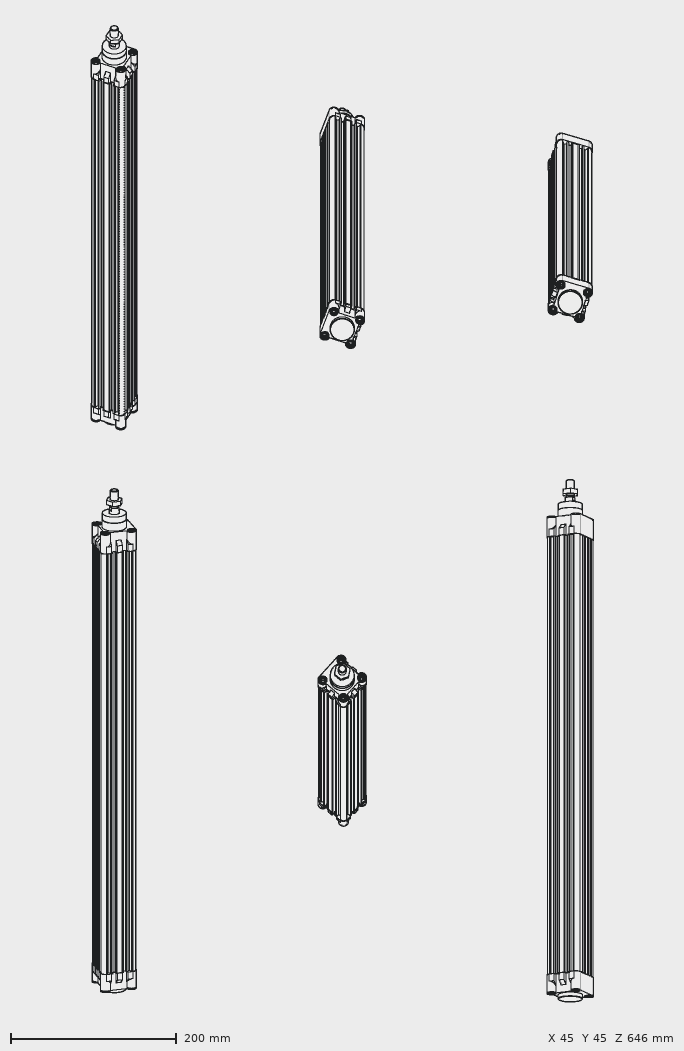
import cadquery as cq

TOTAL_LENGTH = 646.0
CAP_SIDE = 45.0
BACK_FACE = 5.0
TUBE_BOTTOM = 28.5
TUBE_TOP = 573.0
FRONT_FACE = 598.0
COLLAR_TOP = 616.0
ROD_SHOULDER = 624.0

BOSS_DIAMETER = 12.0
BOSS_PITCH = CAP_SIDE - BOSS_DIAMETER
CAP_FLOOR = 17.5
SPIGOT_DIAMETER = 30.0
SPIGOT_CHAMFER = 0.5
COLLAR_DIAMETER = 29.0
COLLAR_STEP = 608.5

SOCKET_STEPS = ((10.0, 1.0), (8.0, 2.5), (6.0, 4.0), (4.15, 10.0))

TAB_WIDTH = 6.5
TAB_PITCH = 13.5
TAB_REACH = 22.5
TAB_LENGTH = 9.0

TUBE_SIDE = 44.5
TUBE_CORNER_RADIUS = 7.0
GROOVE_INNER = 4.85
GROOVE_OUTER = 8.7
GROOVE_FLOOR = 18.0
CENTRE_SLOT_WIDTH = TAB_WIDTH
CENTRE_SLOT_DEPTH = 0.5
SLOT_WIDTH = 6.0
SLOT_FLOOR_START = 19.0
SLOT_FLOOR_BEND = 18.0
SLOT_FLOOR_LOW = 17.5
SLOT_LEDGE = 20.5
SLOT_BEND_AT = 12.0
SLOT_LOW_AT = 13.5
SLOT_LEDGE_AT = 15.5

ROD_DIAMETER = 12.0
THREAD_DIAMETER = 10.0
THREAD_CHAMFER = 1.0
THREAD_START = 626.0
NECK_DIAMETER = 9.0
WRENCH_FLATS = 10.0
WRENCH_BOTTOM = 620.0
NUT_ACROSS_CORNERS = 20.0
NUT_BOTTOM = 628.0
NUT_THICKNESS = 6.0


def cylinder(diameter, bottom, top):
    """A vertical cylinder on the main axis between two heights."""
    return cq.Workplane("XY", origin=(0, 0, bottom)).circle(diameter / 2).extrude(top - bottom)


def box(x_range, y_range, z_range):
    """A box given by its limits along X, Y and Z."""
    sizes = [high - low for low, high in (x_range, y_range, z_range)]
    corner = (x_range[0], y_range[0], z_range[0])
    return cq.Workplane("XY").box(*sizes, centered=False).translate(corner)


def cap_tab(offset):
    """A tab on the -Y side, with a 45 degree ramp; the tube end is at z = 0, the cap above it."""
    ramp = TAB_REACH - CAP_FLOOR
    return (
        cq.Workplane("YZ", origin=(offset - TAB_WIDTH / 2, 0, 0))
        .moveTo(-CAP_FLOOR, 0)
        .lineTo(-TAB_REACH, 0)
        .lineTo(-TAB_REACH, TAB_LENGTH)
        .lineTo(-CAP_FLOOR, TAB_LENGTH + ramp)
        .close()
        .extrude(TAB_WIDTH)
    )


def end_cap(length):
    """A cap standing on z = 0, where it meets the tube, with its outer face at z = length."""
    port_half = BOSS_PITCH / 2
    cap = box((-CAP_FLOOR, CAP_FLOOR), (-CAP_FLOOR, CAP_FLOOR), (0, length))
    port_side = box((-port_half, port_half), (0, CAP_SIDE / 2), (0, length))
    bosses = (
        cq.Workplane("XY")
        .rect(BOSS_PITCH, BOSS_PITCH, forConstruction=True)
        .vertices()
        .circle(BOSS_DIAMETER / 2)
        .extrude(length)
    )
    cap = cap.union(port_side).union(bosses)
    for turn in (0, 90, -90):
        for offset in (-TAB_PITCH, 0, TAB_PITCH):
            cap = cap.union(cap_tab(offset).rotate((0, 0, 0), (0, 0, 1), turn))
    for diameter, depth in SOCKET_STEPS:
        cap = (
            cap.faces(">Z")
            .workplane(origin=(0, 0, length))
            .rect(BOSS_PITCH, BOSS_PITCH, forConstruction=True)
            .vertices()
            .circle(diameter / 2)
            .cutBlind(-depth)
        )
    return cap


def tube():
    """The profiled tube: a rounded square with the same grooves on all four sides."""
    length = TUBE_TOP - TUBE_BOTTOM
    half = TUBE_SIDE / 2
    body = (
        cq.Workplane("XY", origin=(0, 0, TUBE_BOTTOM))
        .rect(TUBE_SIDE, TUBE_SIDE)
        .extrude(length)
        .edges("|Z")
        .fillet(TUBE_CORNER_RADIUS)
    )
    slot_inner = TAB_PITCH - SLOT_WIDTH / 2
    slot_outer = TAB_PITCH + SLOT_WIDTH / 2
    sensor_slot = (
        (slot_inner, half),
        (slot_inner, SLOT_FLOOR_START),
        (SLOT_BEND_AT, SLOT_FLOOR_BEND),
        (SLOT_LOW_AT, SLOT_FLOOR_LOW),
        (SLOT_LEDGE_AT, SLOT_LEDGE),
        (slot_outer, SLOT_LEDGE),
        (slot_outer, half),
    )
    groove = (
        (GROOVE_INNER, half),
        (GROOVE_INNER, GROOVE_FLOOR),
        (GROOVE_OUTER, GROOVE_FLOOR),
        (GROOVE_OUTER, half),
    )
    centre_slot = (
        (-CENTRE_SLOT_WIDTH / 2, half),
        (-CENTRE_SLOT_WIDTH / 2, half - CENTRE_SLOT_DEPTH),
        (CENTRE_SLOT_WIDTH / 2, half - CENTRE_SLOT_DEPTH),
        (CENTRE_SLOT_WIDTH / 2, half),
    )

    def cutter(points):
        return cq.Workplane("XY", origin=(0, 0, TUBE_BOTTOM)).polyline(points).close().extrude(length)

    side_cuts = cutter(centre_slot)
    for points in (sensor_slot, groove):
        side_cuts = side_cuts.union(cutter(points)).union(cutter(points).mirror("YZ"))
    for turn in (0, 90, 180, 270):
        body = body.cut(side_cuts.rotate((0, 0, 0), (0, 0, 1), turn))
    return body


def make_housing():
    front_cap = end_cap(FRONT_FACE - TUBE_TOP).translate((0, 0, TUBE_TOP))
    rear_cap = end_cap(TUBE_BOTTOM - BACK_FACE).mirror("XY").translate((0, 0, TUBE_BOTTOM))
    collar_base = cylinder(SPIGOT_DIAMETER, FRONT_FACE, COLLAR_STEP)
    collar_base = collar_base.faces(">Z").chamfer((SPIGOT_DIAMETER - COLLAR_DIAMETER) / 2)
    collar = collar_base.union(cylinder(COLLAR_DIAMETER, COLLAR_STEP, COLLAR_TOP))
    rear_spigot = cylinder(SPIGOT_DIAMETER, 0, BACK_FACE).faces("<Z").chamfer(SPIGOT_CHAMFER)
    housing = tube().union(front_cap).union(rear_cap).union(collar).union(rear_spigot)
    return housing.cut(cylinder(ROD_DIAMETER, TUBE_TOP, COLLAR_TOP)).solids()


def make_rod():
    rod = cylinder(ROD_DIAMETER, TUBE_TOP, ROD_SHOULDER)
    neck = cylinder(NECK_DIAMETER, ROD_SHOULDER, THREAD_START)
    thread = cylinder(THREAD_DIAMETER, THREAD_START, TOTAL_LENGTH).faces(">Z").chamfer(THREAD_CHAMFER)
    rod = rod.union(neck).union(thread)
    for low, high in ((WRENCH_FLATS / 2, ROD_DIAMETER), (-ROD_DIAMETER, -WRENCH_FLATS / 2)):
        flat = box((-ROD_DIAMETER, ROD_DIAMETER), (low, high), (WRENCH_BOTTOM, ROD_SHOULDER))
        rod = rod.cut(flat)
    return rod.solids()


def make_nut():
    return (
        cq.Workplane("XY", origin=(0, 0, NUT_BOTTOM))
        .polygon(6, NUT_ACROSS_CORNERS)
        .circle(THREAD_DIAMETER / 2)
        .extrude(NUT_THICKNESS)
        .rotate((0, 0, 0), (0, 0, 1), 90)
    )


housing = make_housing()
rod = make_rod()
nut = make_nut()

result = cq.Compound.makeCompound([housing.val(), rod.val(), nut.val()])